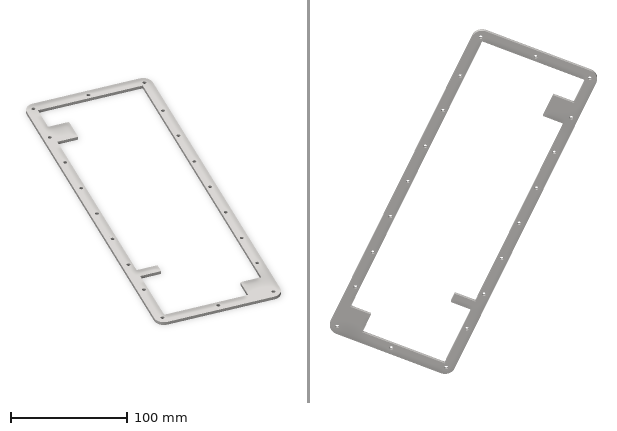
import cadquery as cq

length = 325.85
width = 116.3
thickness = 3.0
corner_radius = 9.0

window_length = 305.2
window_width = 96.8

block_height = 19.3
corner_block_length = 19.1
wide_tab_left = -128.0
wide_tab_length = 22.4
narrow_tab_left = 86.0
narrow_tab_length = 8.9

hole_diameter = 3.3
edge_hole_offsets = (37.9, 76.4, 113.7)
edge_hole_y = 52.2
corner_hole_x = 155.9
corner_hole_y = 51.2
end_hole_x = 156.9

window_right = window_length / 2
window_top = window_width / 2


def make_plate():
    """Solid plate with rounded corners, its bottom face on Z = 0."""
    plate = cq.Workplane("XY").box(length, width, thickness, centered=(True, True, False))
    return plate.edges("|Z").fillet(corner_radius)


def make_block(left, bottom, block_length):
    """Rectangular full-thickness block placed by its lower left corner."""
    block = cq.Workplane("XY").box(block_length, block_height, thickness, centered=False)
    return block.translate((left, bottom, 0))


def make_window():
    """Window cutter, with the corner block and both tabs left standing."""
    window = cq.Workplane("XY").box(window_length, window_width, thickness, centered=(True, True, False))
    corner_block = make_block(
        window_right - corner_block_length, window_top - block_height, corner_block_length
    )
    wide_tab = make_block(wide_tab_left, -window_top, wide_tab_length)
    narrow_tab = make_block(narrow_tab_left, -window_top, narrow_tab_length)
    return window.cut(corner_block).cut(wide_tab).cut(narrow_tab)


def hole_centers():
    """Centers of the holes along the long edges, at the corners and at the ends."""
    centers = [(-end_hole_x, 0), (end_hole_x, 0)]
    for side in (-1, 1):
        centers.append((-corner_hole_x, side * corner_hole_y))
        centers.append((corner_hole_x, side * corner_hole_y))
        centers.append((0, side * edge_hole_y))
        for offset in edge_hole_offsets:
            centers.append((-offset, side * edge_hole_y))
            centers.append((offset, side * edge_hole_y))
    return centers


def make_holes():
    """Cutters for all the screw holes."""
    return cq.Workplane("XY").pushPoints(hole_centers()).circle(hole_diameter / 2).extrude(thickness)


result = make_plate().cut(make_window()).cut(make_holes())